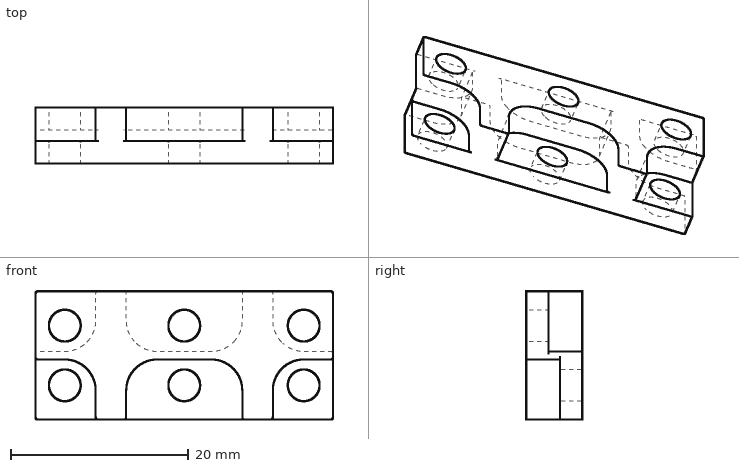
import cadquery as cq

length = 33.53
thickness = 6.35
height = 14.48

plate_thickness = 2.54
pocket_depth = thickness - plate_thickness
pocket_height = 6.79
pocket_corner_radius = 3.5
rib_width = 3.43
end_pocket_length = pocket_height
middle_pocket_length = length - 2 * (end_pocket_length + rib_width)

edge_radius = 0.254

hole_diameter = 3.556
hole_columns = 3
hole_rows = 2
hole_spacing_x = 13.462
hole_spacing_z = 6.731


def pocket_cutter(pocket_length, center_x):
    """Pocket in the bottom of the -Y face, rounded at its top corners.

    The cutter is twice the pocket height, so half of it hangs below the block.
    """
    return (
        cq.Workplane("XY")
        .box(pocket_length, pocket_depth, 2 * pocket_height)
        .edges("|Y and >Z")
        .fillet(pocket_corner_radius)
        .translate((center_x, (pocket_depth - thickness) / 2, -height / 2))
    )


def lower_pockets():
    """Row of one middle pocket and two end pockets; the end ones run out through the block ends."""
    pockets = pocket_cutter(middle_pocket_length, 0)
    for side in (-1, 1):
        pockets = pockets.union(pocket_cutter(2 * end_pocket_length, side * length / 2))
    return pockets


def round_outward_corners(body):
    """Round the convex edges along Y: block corners, plate ends and rib tips."""
    outward_edges = []
    for edge in body.edges("|Y").vals():
        center = edge.Center()
        on_end = abs(abs(center.x) - length / 2) < edge_radius
        on_top_or_bottom = abs(abs(center.z) - height / 2) < edge_radius
        if on_end or on_top_or_bottom:
            outward_edges.append(edge)
    return body.newObject(outward_edges).fillet(edge_radius)


block = cq.Workplane("XY").box(length, thickness, height)
front_row = lower_pockets()
back_row = front_row.rotate((0, 0, 0), (1, 0, 0), 180)
body = round_outward_corners(block.cut(front_row).cut(back_row))

holes = (
    cq.Workplane("XZ")
    .rarray(hole_spacing_x, hole_spacing_z, hole_columns, hole_rows)
    .circle(hole_diameter / 2)
    .extrude(thickness, both=True)
)

result = body.cut(holes)